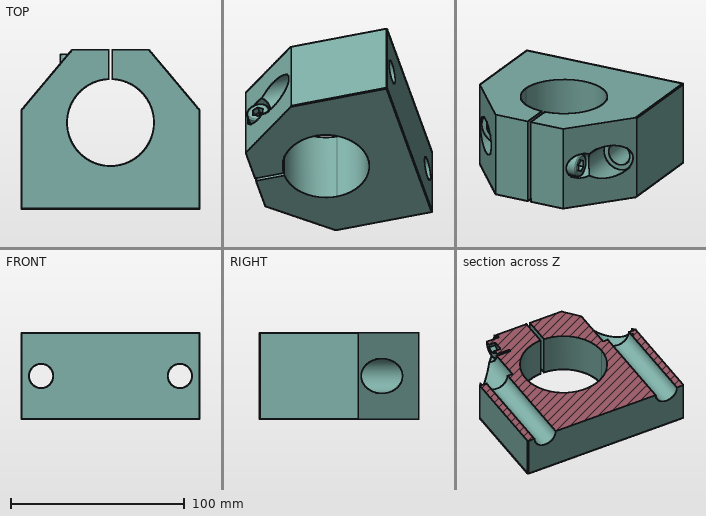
import cadquery as cq
import math

width = 103.0
depth = 92.0
height = 50.0
front_y = -50.0
back_y = front_y + depth
shoulder_y = 7.0
shoulder_angle = 50.0
back_width = width - 2 * (back_y - shoulder_y) / math.tan(math.radians(shoulder_angle))
edge_chamfer = 0.5

bore_diameter = 50.0
slot_width = 2.0

mount_spacing = 80.0
mount_diameter = 13.84
recess_diameter = 20.0
recess_floor_y = shoulder_y

screw_y = 33.0
screw_recess_diameter = 15.0
head_diameter = 13.0
head_height = 8.0
head_fillet = 0.8
head_end_x = -29.0
head_seat_x = head_end_x + head_height
hex_across_flats = 6.0
hex_depth = 4.0


def cylinder_along_y(x, diameter, y_start, y_end):
    base = cq.Vector(x, y_start, 0)
    direction = cq.Vector(0, 1, 0)
    return cq.Workplane(cq.Solid.makeCylinder(diameter / 2, y_end - y_start, base, direction))


def cylinder_along_x(diameter, x_start, x_end):
    base = cq.Vector(x_start, screw_y, 0)
    direction = cq.Vector(1, 0, 0)
    return cq.Workplane(cq.Solid.makeCylinder(diameter / 2, x_end - x_start, base, direction))


def make_body():
    """Six-sided block, chamfered around its front face and along the long edges of its sides."""
    outline = [
        (-width / 2, front_y),
        (width / 2, front_y),
        (width / 2, shoulder_y),
        (back_width / 2, back_y),
        (-back_width / 2, back_y),
        (-width / 2, shoulder_y),
    ]
    block = cq.Workplane("XY").polyline(outline).close().extrude(height / 2, both=True)
    front_edges = block.faces("<Y").edges()
    side_edges = block.faces("<X or >X").edges("|Y")
    return front_edges.add(side_edges).chamfer(edge_chamfer)


def cut_bore_and_slot(body):
    """Vertical bore, split through to the back face."""
    bore = cq.Workplane("XY").circle(bore_diameter / 2).extrude(height / 2, both=True)
    slot = cq.Workplane("XY").center(0, back_y / 2).rect(slot_width, back_y).extrude(height / 2, both=True)
    return body.cut(bore).cut(slot)


def cut_mounting_holes(body):
    """Through holes with a wider recess behind, one on each side."""
    for x in (-mount_spacing / 2, mount_spacing / 2):
        body = body.cut(cylinder_along_y(x, mount_diameter, front_y, back_y))
        body = body.cut(cylinder_along_y(x, recess_diameter, recess_floor_y, back_y))
    return body


def cut_screw_recess(body):
    """Flat-bottomed recess around the screw head, open on the left shoulder."""
    return body.cut(cylinder_along_x(screw_recess_diameter, -width / 2, head_seat_x))


def make_screw_head():
    """Rounded cylindrical head with a hexagon socket whose corners point up and down."""
    head = cylinder_along_x(head_diameter, head_end_x, head_seat_x)
    head = head.faces("<X").edges().fillet(head_fillet)
    hex_across_corners = hex_across_flats / math.cos(math.pi / 6)
    socket = (
        cq.Workplane("YZ", origin=(head_end_x, screw_y, 0))
        .transformed(rotate=(0, 0, 90))
        .polygon(6, hex_across_corners)
        .extrude(hex_depth)
    )
    return head.cut(socket)


clamp = make_body()
clamp = cut_bore_and_slot(clamp)
clamp = cut_mounting_holes(clamp)
clamp = cut_screw_recess(clamp)
result = clamp.union(make_screw_head())